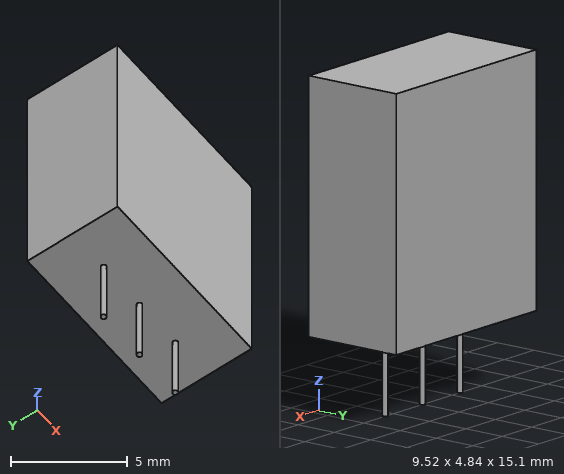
import cadquery as cq

total_height = 15.11
housing_width = 9.52
housing_depth = 4.84

pin_diameter = 0.25
pin_length = 3.55
pin_pitch = 2.54
pin_count = 3

housing_height = total_height - pin_length


def make_housing():
    """Plain rectangular block standing on Z = 0."""
    return cq.Workplane("XY").box(
        housing_width, housing_depth, housing_height, centered=(True, True, False)
    )


def make_pin(x):
    """Round lead hanging from the underside of the housing."""
    return cq.Workplane("XY").center(x, 0).circle(pin_diameter / 2).extrude(-pin_length)


housing = make_housing()

first_pin_x = -pin_pitch * (pin_count - 1) / 2
pins = [make_pin(first_pin_x + i * pin_pitch) for i in range(pin_count)]

result = cq.Compound.makeCompound([housing.val(), *[pin.val() for pin in pins]])